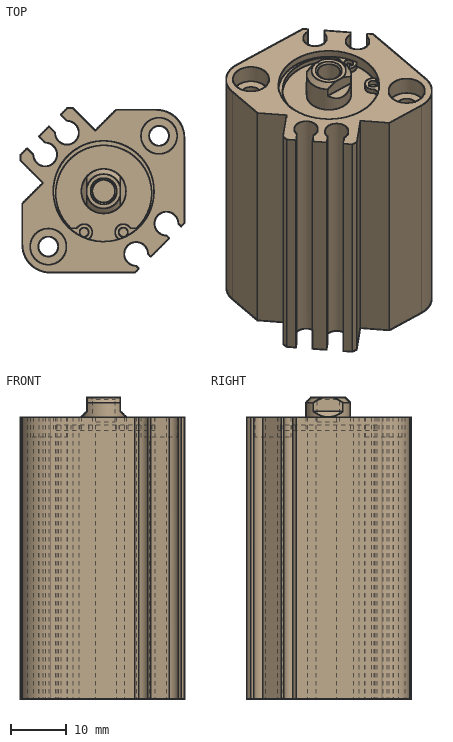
import cadquery as cq
import math

TOTAL_HEIGHT = 54.0
ROD_PROTRUSION = 3.5
HOUSING_HEIGHT = TOTAL_HEIGHT - ROD_PROTRUSION

HALF_WIDTH = 14.6
RIGHT_FACE_X = 14.45
CORNER_RADIUS = 5.0
SHOULDER_OFFSET = 8.75
RAIL_HALF_WIDTH = 6.65
RAIL_OFFSET = 15.1
RAIL_CHAMFER = 0.7
CORNER_CUT_OFFSET = 14.25
RAIL_DIRECTION = 135.0
CUT_DIRECTION = RAIL_DIRECTION + 180.0

SLOT_RADIUS = 2.1
SLOT_MOUTH = 2.95
SLOT_OFFSET = 12.05
RAIL_SLOT_SPACING = 5.5
CUT_SLOT_SPACING = 7.65

MOUNT_CIRCLE_DIAMETER = 28.0
MOUNT_HOLE_DIAMETER = 3.5
COUNTERBORE_DIAMETER = 6.5
COUNTERBORE_DEPTH = 3.5

RECESS_RADIUS = 9.0
RECESS_DEPTH = 2.4
RECESS_FLOOR_Z = HOUSING_HEIGHT - RECESS_DEPTH

RING_THICKNESS = 0.95
RING_OPENING_RADIUS = 8.6
RING_OPENING_SHIFT = 0.4
EAR_X = 3.5
EAR_Y = -7.35
EAR_RADIUS = 1.45
EAR_HOLE_DIAMETER = 1.6
EAR_ROOT_Y = -6.65
EAR_FILLET = 0.55

ROD_RADIUS = 4.0
ROD_CHAMFER = 0.9
ROD_LENGTH = ROD_PROTRUSION + RECESS_DEPTH
FLATS_WIDTH = 6.0
FLATS_LENGTH = 2.5
SOCKET_DIAMETER = 4.05
SOCKET_DEPTH = 4.3
SOCKET_CHAMFER = 0.3


def block(x_min, x_max, y_min, y_max, height):
    """Box standing on Z = 0 between the given X and Y limits."""
    return (
        cq.Workplane("XY")
        .box(x_max - x_min, y_max - y_min, height, centered=False)
        .translate((x_min, y_min, 0))
    )


def turned(shape, angle):
    """Turn a shape about the Z axis so that what points along +X points along the angle."""
    return shape.rotate((0, 0, 0), (0, 0, 1), angle)


def make_profile():
    """Square bar with two rounded corners, one flat corner and a rail on the opposite corner."""
    bar = (
        block(-HALF_WIDTH, RIGHT_FACE_X, -HALF_WIDTH, HALF_WIDTH, HOUSING_HEIGHT)
        .edges("|Z").edges(">(1, 1, 0) or <(1, 1, 0)")
        .fillet(CORNER_RADIUS)
    )
    reach = 2 * HALF_WIDTH
    slab = block(-CORNER_CUT_OFFSET, SHOULDER_OFFSET, -reach, reach, HOUSING_HEIGHT)
    rail = (
        block(0, RAIL_OFFSET, -RAIL_HALF_WIDTH, RAIL_HALF_WIDTH, HOUSING_HEIGHT)
        .edges("|Z and >X")
        .chamfer(RAIL_CHAMFER)
    )
    return bar.intersect(turned(slab, RAIL_DIRECTION)).union(turned(rail, RAIL_DIRECTION))


def make_slot_pair(spacing, direction):
    """Two parallel full-height slots that open along the given direction."""
    centres = [(SLOT_OFFSET, -spacing / 2), (SLOT_OFFSET, spacing / 2)]
    channels = cq.Workplane("XY").pushPoints(centres).circle(SLOT_RADIUS).extrude(HOUSING_HEIGHT)
    for x, y in centres:
        mouth = block(x, RAIL_OFFSET, y - SLOT_MOUTH / 2, y + SLOT_MOUTH / 2, HOUSING_HEIGHT)
        channels = channels.union(mouth)
    return turned(channels, direction)


def make_housing():
    mount_offset = MOUNT_CIRCLE_DIAMETER / 2 / math.sqrt(2)
    return (
        make_profile()
        .cut(make_slot_pair(RAIL_SLOT_SPACING, RAIL_DIRECTION))
        .cut(make_slot_pair(CUT_SLOT_SPACING, CUT_DIRECTION))
        .faces(">Z").workplane(origin=(0, 0, HOUSING_HEIGHT))
        .pushPoints([(mount_offset, mount_offset), (-mount_offset, -mount_offset)])
        .cboreHole(MOUNT_HOLE_DIAMETER, COUNTERBORE_DIAMETER, COUNTERBORE_DEPTH)
        .faces(">Z").workplane(origin=(0, 0, HOUSING_HEIGHT))
        .circle(RECESS_RADIUS)
        .cutBlind(-RECESS_DEPTH)
    )


def make_ear(disc):
    """Right-hand ear: a round lug joined to the ring by a straight-edged root."""
    lug = cq.Workplane("XY").center(EAR_X, EAR_Y).circle(EAR_RADIUS).extrude(RING_THICKNESS)
    root = block(EAR_X, RECESS_RADIUS, -RECESS_RADIUS, EAR_ROOT_Y, RING_THICKNESS)
    corner_x = EAR_X + math.sqrt(EAR_RADIUS**2 - (EAR_ROOT_Y - EAR_Y)**2)
    corner = (corner_x, EAR_ROOT_Y, RING_THICKNESS / 2)
    ear = (
        lug.union(root)
        .edges(cq.selectors.NearestToPointSelector(corner))
        .fillet(EAR_FILLET)
    )
    hole = cq.Workplane("XY").center(EAR_X, EAR_Y).circle(EAR_HOLE_DIAMETER / 2).extrude(RING_THICKNESS)
    return ear.intersect(disc).cut(hole)


def make_retaining_ring():
    """Open ring with two drilled ears beside its gap."""
    disc = cq.Workplane("XY").circle(RECESS_RADIUS).extrude(RING_THICKNESS)
    opening = (
        cq.Workplane("XY")
        .center(0, -RING_OPENING_SHIFT)
        .circle(RING_OPENING_RADIUS)
        .extrude(RING_THICKNESS)
    )
    gap = block(-RECESS_RADIUS, RECESS_RADIUS, -RECESS_RADIUS, EAR_ROOT_Y, RING_THICKNESS)
    right_ear = make_ear(disc)
    ring = disc.cut(opening).cut(gap).union(right_ear).union(right_ear.mirror("YZ"))
    return ring.translate((0, 0, RECESS_FLOOR_Z))


def make_rod():
    """Rod end standing on the recess floor, with a socket and two wrench flats."""
    rod = (
        cq.Workplane("XY")
        .circle(ROD_RADIUS)
        .extrude(ROD_LENGTH)
        .faces(">Z").chamfer(ROD_CHAMFER)
        .faces(">Z").workplane()
        .cskHole(SOCKET_DIAMETER, SOCKET_DIAMETER + 2 * SOCKET_CHAMFER, 90, SOCKET_DEPTH)
    )
    flat_x = FLATS_WIDTH / 2
    flat_z = ROD_LENGTH - FLATS_LENGTH
    runout = ROD_RADIUS - flat_x
    flat_cut = (
        cq.Workplane("XZ")
        .moveTo(flat_x, ROD_LENGTH)
        .lineTo(flat_x, flat_z)
        .lineTo(ROD_RADIUS, flat_z - runout)
        .lineTo(ROD_RADIUS, ROD_LENGTH)
        .close()
        .extrude(ROD_RADIUS, both=True)
    )
    rod = rod.cut(flat_cut).cut(flat_cut.mirror("YZ"))
    return rod.translate((0, 0, RECESS_FLOOR_Z))


housing = make_housing()
retaining_ring = make_retaining_ring()
rod = make_rod()

result = cq.Compound.makeCompound([housing.val(), retaining_ring.val(), rod.val()])